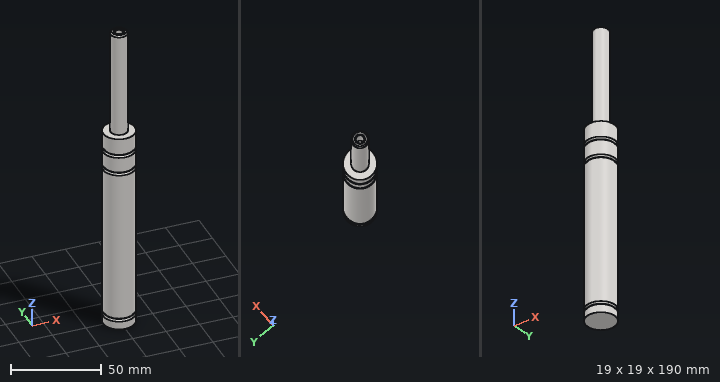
import cadquery as cq
import math

total_length = 190.0
body_diameter = 19.0
body_length = 125.0
rod_diameter = 10.0
rod_chamfer = 1.0

groove_depth = 1.05
groove_heights = [6.3, 102.2, 113.8]

hole_diameter = 4.5
hole_depth = 15.2
countersink_diameter = 5.7
drill_tip_angle = 118.0


def make_body():
    """Plain cylinder standing on the XY plane."""
    return cq.Workplane("XY").circle(body_diameter / 2).extrude(body_length)


def make_rod():
    """Slim rod on top of the body, chamfered at its free end."""
    rod = cq.Workplane("XY").workplane(offset=body_length)
    rod = rod.circle(rod_diameter / 2).extrude(total_length - body_length)
    return rod.faces(">Z").edges().chamfer(rod_chamfer)


def make_groove(height):
    """Ring with a triangular section, centred at the given height."""
    surface = body_diameter / 2
    section = [
        (surface, height - groove_depth),
        (surface - groove_depth, height),
        (surface, height + groove_depth),
    ]
    return cq.Workplane("XZ").polyline(section).close().revolve(360, (0, 0), (0, 1))


def make_hole():
    """Countersunk blind hole with a conical drill tip."""
    radius = hole_diameter / 2
    countersink_radius = countersink_diameter / 2
    countersink_depth = countersink_radius - radius
    tip_length = radius / math.tan(math.radians(drill_tip_angle / 2))
    floor = total_length - hole_depth
    section = [
        (0, total_length),
        (countersink_radius, total_length),
        (radius, total_length - countersink_depth),
        (radius, floor),
        (0, floor - tip_length),
    ]
    return cq.Workplane("XZ").polyline(section).close().revolve(360, (0, 0), (0, 1))


result = make_body().union(make_rod()).cut(make_hole())
for groove_height in groove_heights:
    result = result.cut(make_groove(groove_height))